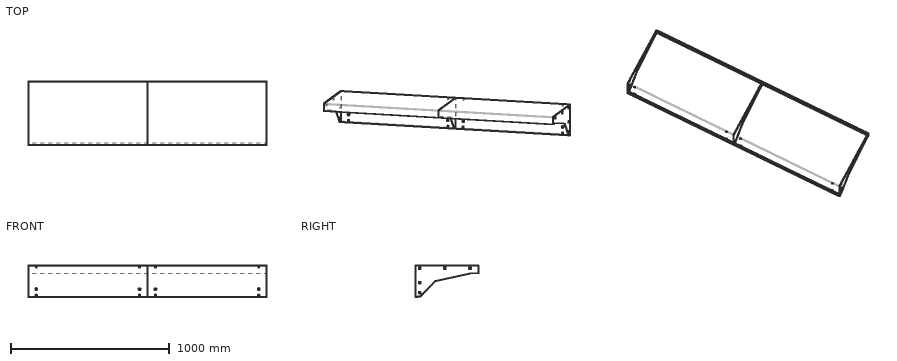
import cadquery as cq

length = 1500.0
depth = 400.0
height = 200.0

sheet = 3.0
outer_bend_radius = 6.0
inner_bend_radius = outer_bend_radius - sheet
back_lip_height = 50.0
bottom_flange_depth = 15.0

column_offset = 50.0
fixing_diameter = 12.0
fixing_height = 50.0
small_diameter = 8.0
small_hole_heights = (12.0, 190.0)
front_cut_depth = 2 * outer_bend_radius

rib_thickness = sheet
rib_tip_length = 45.0
rib_knee_y = 126.0
rib_knee_z = height / 2
rib_toe_y = 32.0

bolt_diameter = 14.0
bolt_front_y = 28.0
bolt_back_y = 345.0
bolt_top_z = 181.5
bolt_middle_z = 91.0
bolt_bottom_z = 28.0


def rounded_bar(offset, corner_radius):
    """Full-length bar, inset by offset from the outer profile, with the three bends rounded."""
    return (
        cq.Workplane("YZ")
        .center(depth / 2, height / 2)
        .rect(depth - 2 * offset, height - 2 * offset)
        .extrude(length)
        .edges("|X")
        .edges("<Y or >Z")
        .fillet(corner_radius)
    )


def front_hole(x, z, diameter):
    """Cutter that runs from the front face along +Y."""
    return cq.Workplane("XZ", origin=(x, 0, z)).circle(diameter / 2).extrude(-front_cut_depth)


def make_cover():
    """Sheet folded into a top, a back lip and a front panel with a bottom flange."""
    open_underside = cq.Workplane("XY", origin=(0, bottom_flange_depth, 0)).box(
        length, depth - bottom_flange_depth, height - back_lip_height, centered=False
    )
    cover = (
        rounded_bar(0, outer_bend_radius)
        .cut(rounded_bar(sheet, inner_bend_radius))
        .cut(open_underside)
    )
    columns_x = (
        column_offset,
        length / 2 - column_offset,
        length / 2 + column_offset,
        length - column_offset,
    )
    for x in columns_x:
        cover = cover.cut(front_hole(x, fixing_height, fixing_diameter))
        for z in small_hole_heights:
            cover = cover.cut(front_hole(x, z, small_diameter))
    return cover


def make_rib(x):
    """Plain gusset plate inside the cover, with its left face at x."""
    back_y = depth - sheet
    top_z = height - sheet
    tip_z = height - back_lip_height
    return (
        cq.Workplane("YZ", origin=(x, 0, 0))
        .moveTo(sheet, sheet)
        .lineTo(rib_toe_y, sheet)
        .lineTo(rib_knee_y, rib_knee_z)
        .lineTo(depth - rib_tip_length, tip_z)
        .lineTo(back_y, tip_z)
        .lineTo(back_y, top_z)
        .lineTo(sheet, top_z)
        .close()
        .extrude(rib_thickness)
        .edges("|X")
        .edges(">Z or (<Y and <Z)")
        .fillet(inner_bend_radius)
    )


def make_end_plate(x):
    """Gusset plate with bolt holes along its top and front edges."""
    bolt_spots = [
        (bolt_front_y, bolt_bottom_z),
        (bolt_front_y, bolt_middle_z),
        (bolt_front_y, bolt_top_z),
        ((bolt_front_y + bolt_back_y) / 2, bolt_top_z),
        (bolt_back_y, bolt_top_z),
    ]
    bolt_holes = (
        cq.Workplane("YZ", origin=(x, 0, 0))
        .pushPoints(bolt_spots)
        .circle(bolt_diameter / 2)
        .extrude(rib_thickness)
    )
    return make_rib(x).cut(bolt_holes)


cover = make_cover()
end_plates = [make_end_plate(x) for x in (0, length - rib_thickness)]
middle_rib = make_rib((length - rib_thickness) / 2)

result = cq.Compound.makeCompound(
    [cover.val(), *[plate.val() for plate in end_plates], middle_rib.val()]
)